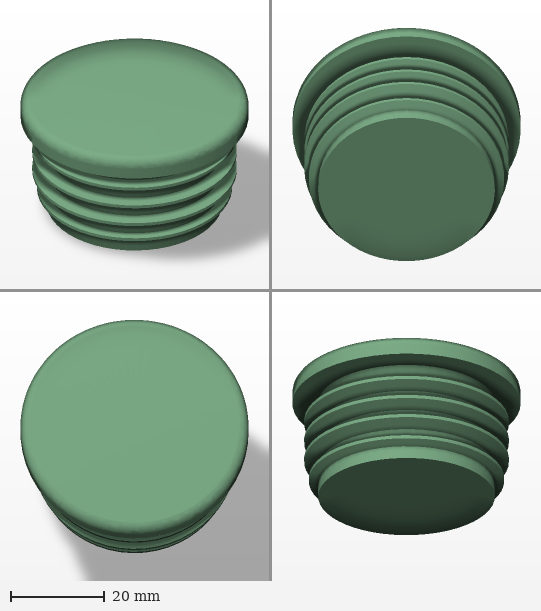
import cadquery as cq

stem_radius = 37.6 / 2
stem_height = 22.0

cap_radius = 24.3
cap_edge_z = 26.4
dome_apex_z = 27.05
cap_edge_fillet = 2.0

fin_radius = 43.6 / 2
lead_fin_radius = 41.6 / 2
fin_count = 4
fin_pitch = 4.5
top_fin_z = 18.0
fin_lip = 0.75
fin_cone_slope = 0.46


def make_cap():
    """Solid of revolution with a spherical top and a rounded upper edge."""
    dome_mid_radius = cap_radius / 2
    dome_rise = dome_apex_z - cap_edge_z
    sphere_radius = (cap_radius**2 + dome_rise**2) / (2 * dome_rise)
    dome_mid_z = dome_apex_z - sphere_radius + (sphere_radius**2 - dome_mid_radius**2) ** 0.5
    cap = (
        cq.Workplane("XZ")
        .moveTo(0, stem_height)
        .lineTo(cap_radius, stem_height)
        .lineTo(cap_radius, cap_edge_z)
        .threePointArc((dome_mid_radius, dome_mid_z), (0, dome_apex_z))
        .close()
        .revolve(360, (0, 0, 0), (0, 1, 0))
    )
    return cap.faces(">Z").edges("%CIRCLE").fillet(cap_edge_fillet)


def make_fin(radius, top_z):
    """Ring with a flat top, a short upright lip and a conical underside."""
    lip_bottom_z = top_z - fin_lip
    cone_bottom_z = lip_bottom_z - fin_cone_slope * (radius - stem_radius)
    return (
        cq.Workplane("XZ")
        .moveTo(0, top_z)
        .lineTo(radius, top_z)
        .lineTo(radius, lip_bottom_z)
        .lineTo(stem_radius, cone_bottom_z)
        .lineTo(0, cone_bottom_z)
        .close()
        .revolve(360, (0, 0, 0), (0, 1, 0))
    )


result = cq.Workplane("XY").circle(stem_radius).extrude(stem_height).union(make_cap())

for index in range(fin_count):
    is_lead_fin = index == fin_count - 1
    radius = lead_fin_radius if is_lead_fin else fin_radius
    result = result.union(make_fin(radius, top_fin_z - index * fin_pitch))